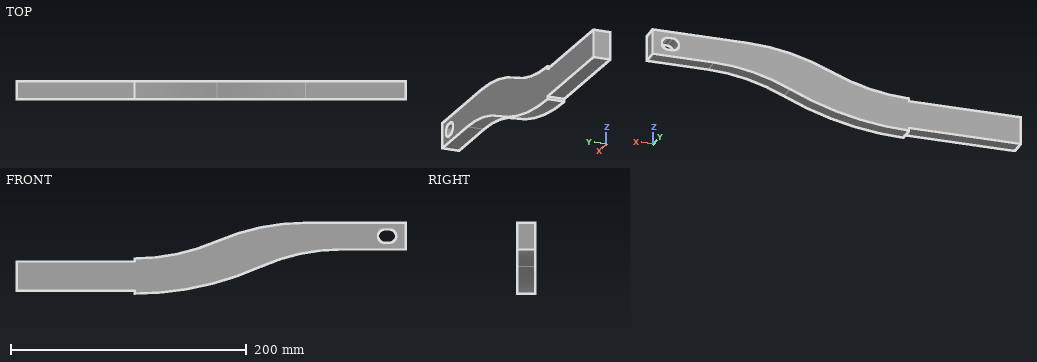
import cadquery as cq
import math

LENGTH = 330.0
THICKNESS = 15.5
HEIGHT = 60.26

SHANK_LENGTH = 100.0
SHANK_HEIGHT = 25.0
ROOT_HEIGHT = 30.0
SHOULDER = (ROOT_HEIGHT - SHANK_HEIGHT) / 2

ARM_HEIGHT = 22.8
ARM_BOTTOM = HEIGHT - ARM_HEIGHT

TOP_INFLECTION_X = 170.0
TOP_END_X = 245.0
BOTTOM_INFLECTION_X = 207.0
BOTTOM_END_X = 275.0

HOLE_WIDTH = 11.0
HOLE_LENGTH = 15.3
HOLE_END_DISTANCE = 16.0


def s_curve(start, inflection_x, end):
    """Return the midpoint of each arc and the inflection between, for two arcs level at the ends."""
    run = end[0] - start[0]
    rise = end[1] - start[1]
    turn = 2 * math.atan2(rise, run)
    first_radius = (inflection_x - start[0]) / math.sin(turn)
    second_radius = (end[0] - inflection_x) / math.sin(turn)

    def on_first(angle):
        return (
            start[0] + first_radius * math.sin(angle),
            start[1] + first_radius * (1 - math.cos(angle)),
        )

    def on_second(angle):
        return (
            end[0] - second_radius * math.sin(angle),
            end[1] - second_radius * (1 - math.cos(angle)),
        )

    return on_first(turn / 2), on_first(turn), on_second(turn / 2)


def make_lever():
    """Extrude the side outline symmetrically about the XZ plane."""
    top_start = (SHANK_LENGTH, ROOT_HEIGHT)
    top_end = (TOP_END_X, HEIGHT)
    bottom_start = (SHANK_LENGTH, 0)
    bottom_end = (BOTTOM_END_X, ARM_BOTTOM)
    top_first, top_middle, top_second = s_curve(top_start, TOP_INFLECTION_X, top_end)
    low_first, low_middle, low_second = s_curve(bottom_start, BOTTOM_INFLECTION_X, bottom_end)

    return (
        cq.Workplane("XZ")
        .moveTo(0, SHOULDER)
        .lineTo(SHANK_LENGTH, SHOULDER)
        .lineTo(*bottom_start)
        .threePointArc(low_first, low_middle)
        .threePointArc(low_second, bottom_end)
        .lineTo(LENGTH, ARM_BOTTOM)
        .lineTo(LENGTH, HEIGHT)
        .lineTo(*top_end)
        .threePointArc(top_second, top_middle)
        .threePointArc(top_first, top_start)
        .lineTo(SHANK_LENGTH, SHOULDER + SHANK_HEIGHT)
        .lineTo(0, SHOULDER + SHANK_HEIGHT)
        .close()
        .extrude(THICKNESS / 2, both=True)
    )


def make_hole():
    """Slot-shaped cutter, long along X, at mid-height of the arm."""
    return (
        cq.Workplane("XZ")
        .center(LENGTH - HOLE_END_DISTANCE, ARM_BOTTOM + ARM_HEIGHT / 2)
        .slot2D(HOLE_LENGTH, HOLE_WIDTH)
        .extrude(THICKNESS, both=True)
    )


result = make_lever().cut(make_hole())